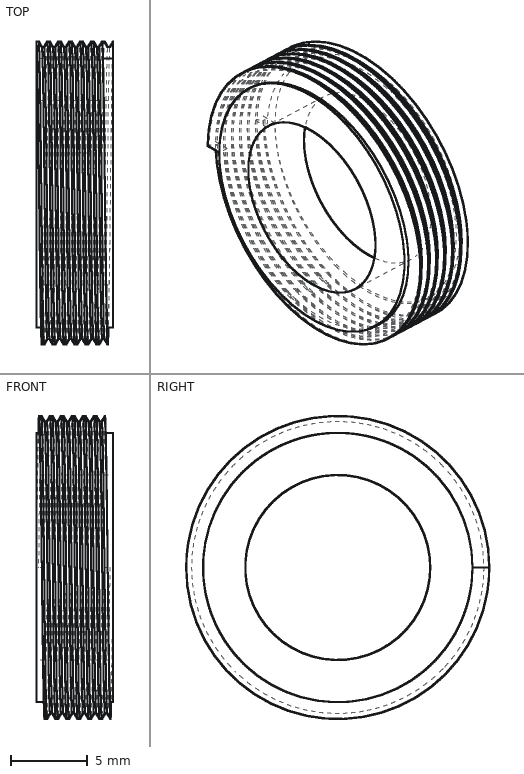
import math

import cadquery as cq

bore_diameter = 12.0
sleeve_diameter = 17.5
root_diameter = 18.98
crest_diameter = 19.7
length = 4.99
flank_half_angle = 30.0

tooth_count = 6
band_sink = 0.2

bore_radius = bore_diameter / 2
sleeve_radius = sleeve_diameter / 2
root_radius = root_diameter / 2
crest_radius = crest_diameter / 2

pitch = length / (tooth_count + 1)
band_width = tooth_count * pitch
thread_depth = crest_radius - root_radius
flank_width = thread_depth * math.tan(math.radians(flank_half_angle))
flat_width = pitch / 2 - flank_width


def make_sleeve():
    """Plain ring along X that carries the thread band."""
    return (
        cq.Workplane("YZ")
        .circle(sleeve_radius)
        .circle(bore_radius)
        .extrude(length)
    )


def make_band_profile():
    """Axial section of the band; each pitch is a crest flat, a flank, a root flat and a flank."""
    inner_radius = sleeve_radius - band_sink
    profile = cq.Workplane("XZ").moveTo(inner_radius, 0)
    for tooth in range(tooth_count):
        crest_start = tooth * pitch
        crest_end = crest_start + flat_width
        root_start = crest_end + flank_width
        root_end = root_start + flat_width
        profile = (
            profile.lineTo(crest_radius, crest_start)
            .lineTo(crest_radius, crest_end)
            .lineTo(root_radius, root_start)
            .lineTo(root_radius, root_end)
        )
    return profile.lineTo(crest_radius, band_width).lineTo(inner_radius, band_width).close()


def make_half_turn():
    """Half a turn of the band about Z, climbing half a pitch from the +X side."""
    half_helix = cq.Wire.makeHelix(pitch, pitch / 2, sleeve_radius)
    return make_band_profile().sweep(cq.Workplane(obj=half_helix), isFrenet=True)


def make_band():
    """One full helical turn of the toothed section about X, starting on the +Y side."""
    first_half = make_half_turn()
    second_half = first_half.rotate((0, 0, 0), (0, 0, 1), 180).translate((0, 0, pitch / 2))
    band = first_half.union(second_half)
    return band.rotate((0, 0, 0), (1, 1, 1), 120)


result = make_sleeve().union(make_band())